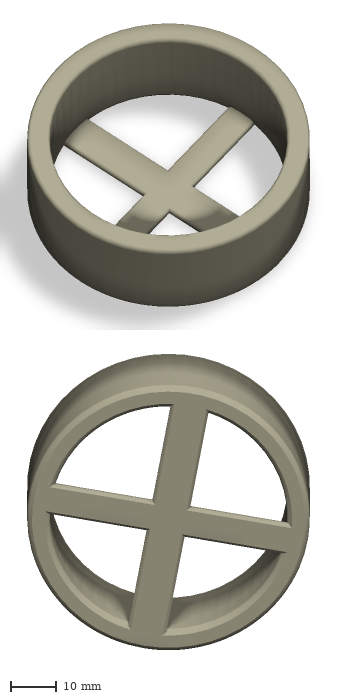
import cadquery as cq
import math

outer_diameter = 62.5
inner_diameter = 52.5
height = 22.0
rim_radius = 1.0

foot_chamfer = 1.05
foot_blend_radius = 1.0

x_arm_width = 8.5
y_arm_width = 7.1
cross_thickness = 2.0
cross_top_radius = 0.8
cross_bottom_chamfer = 0.7
cross_span = (outer_diameter + inner_diameter) / 2


def make_ring():
    ring = cq.Workplane("XY").circle(outer_diameter / 2).circle(inner_diameter / 2).extrude(height)
    ring = ring.faces(">Z").edges().fillet(rim_radius)
    ring = ring.faces("<Z").edges().chamfer(foot_chamfer)
    chamfer_top_edges = [
        edge for edge in ring.edges("%CIRCLE").vals()
        if math.isclose(edge.Center().z, foot_chamfer, abs_tol=6.25e-07)
    ]
    return ring.newObject(chamfer_top_edges).fillet(foot_blend_radius)


def make_cross():
    x_arm = cq.Workplane("XY").rect(cross_span, x_arm_width).extrude(cross_thickness)
    y_arm = cq.Workplane("XY").rect(y_arm_width, cross_span).extrude(cross_thickness)
    cross = x_arm.union(y_arm)
    cross = cross.faces(">Z").edges().fillet(cross_top_radius)
    return cross.faces("<Z").edges().chamfer(cross_bottom_chamfer)


result = make_ring().union(make_cross())